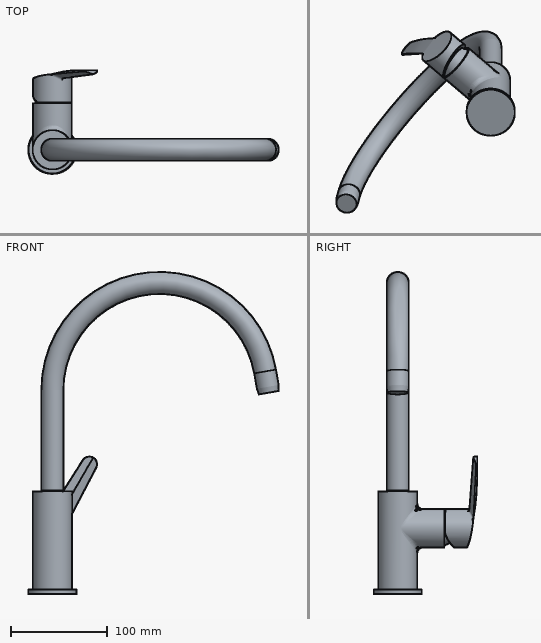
import cadquery as cq
import math

base_dia = 50.0
base_height = 5.0
base_edge_chamfer = 0.6

body_dia = 40.6
body_top = 106.0
arm_dia = 40.0
arm_axis_height = 68.0
arm_end = 48.0
arm_blend_radius = 5.0

pipe_dia = 23.0
seal_dia = 21.0
seal_height = 1.0
overall_height = 332.4
arc_radius = 110.46
arc_sweep = 170.0
aerator_length = 22.3
aerator_taper_length = 6.2
aerator_end_dia = 21.0

cap_base_dia = 36.0
cap_end_dia = 25.0
cap_length = 12.0

hub_dia = 40.0
hub_gap = 1.0
hub_depth = 35.0
undercut_start = 3.0
undercut_rise = 11.5
handle_tilt = 30.0

face_front = 82.19
face_radius = 340.0
face_crest = 70.0
lever_tip_centre = 76.2
lever_tip_radius = 8.0
lever_root_half_width = 11.2
ridge_root_depth = 72.2
ridge_slope = 0.065
gable_slope = 0.43
lever_root_fillet = 2.0

arc_centre_height = overall_height - pipe_dia / 2 - arc_radius
riser_bottom = body_top + seal_height


def disc(diameter, bottom, height):
    """Upright cylinder on the body axis."""
    return cq.Workplane("XY").workplane(offset=bottom).circle(diameter / 2).extrude(height)


def along_y(start):
    """Workplane facing +Y at the given distance; its local y is -Z."""
    return cq.Workplane("XZ", origin=(0, start, 0)).transformed(rotate=(180, 0, 0))


def make_base():
    """Foot ring with a chamfered upper edge."""
    return disc(base_dia, 0, base_height).faces(">Z").edges().chamfer(base_edge_chamfer)


def make_body():
    """Column with the side arm blended into it."""
    column = disc(body_dia, base_height, body_top - base_height)
    arm = along_y(0).circle(arm_dia / 2).extrude(arm_end).translate((0, 0, arm_axis_height))
    junction = column.union(arm).edges("%BSPLINE")
    return junction.fillet(arm_blend_radius)


def arc_point(swept):
    """X and Z on the spout centreline after turning through the given degrees."""
    angle = math.radians(180 - swept)
    return arc_radius * (1 + math.cos(angle)), arc_centre_height + arc_radius * math.sin(angle)


def make_spout():
    """Round pipe swept up the riser and over the arc."""
    path = (
        cq.Workplane("XZ")
        .moveTo(0, riser_bottom)
        .lineTo(0, arc_centre_height)
        .threePointArc(arc_point(arc_sweep / 2), arc_point(arc_sweep))
    )
    return cq.Workplane("XY").workplane(offset=riser_bottom).circle(pipe_dia / 2).sweep(path)


def make_aerator():
    """Sleeve with a tapered end, continuing straight on from the end of the arc."""
    end = math.radians(180 - arc_sweep)
    outlet_x, outlet_z = arc_point(arc_sweep)
    outlet = cq.Plane(
        origin=(outlet_x, 0, outlet_z),
        xDir=(0, 1, 0),
        normal=(math.sin(end), 0, -math.cos(end)),
    )
    sleeve_length = aerator_length - aerator_taper_length
    profile = [
        (0, 0),
        (pipe_dia / 2, 0),
        (pipe_dia / 2, sleeve_length),
        (aerator_end_dia / 2, aerator_length),
        (0, aerator_length),
    ]
    upright = cq.Workplane("XZ").polyline(profile).close().revolve(360, (0, 0), (0, 1))
    return upright.newObject([upright.val().moved(cq.Location(outlet))])


def make_cap():
    """Cone standing on the end face of the arm."""
    profile = [
        (0, arm_end),
        (cap_base_dia / 2, arm_end),
        (cap_end_dia / 2, arm_end + cap_length),
        (0, arm_end + cap_length),
    ]
    cap = cq.Workplane("XY").polyline(profile).close().revolve(360, (0, 0), (0, 1))
    return cap.translate((0, 0, arm_axis_height))


def make_lever():
    """Tapered blade with a rounded tip and a ridge down the inner face."""
    root = lever_root_half_width
    tip = lever_tip_radius
    outline = (
        cq.Workplane("XZ")
        .moveTo(-root, 0)
        .lineTo(-tip, lever_tip_centre)
        .threePointArc((0, lever_tip_centre + tip), (tip, lever_tip_centre))
        .lineTo(root, 0)
        .close()
        .extrude(-face_front)
    )
    reach = lever_tip_centre + 2 * tip
    side = 2 * root
    section = [
        (0, ridge_root_depth),
        (side, ridge_root_depth + gable_slope * side),
        (side, 2 * face_front),
        (-side, 2 * face_front),
        (-side, ridge_root_depth + gable_slope * side),
    ]
    upper = [(x, y + ridge_slope * reach) for x, y in section]
    gable = (
        cq.Workplane("XY")
        .polyline(section)
        .close()
        .workplane(offset=reach)
        .polyline(upper)
        .close()
        .loft(ruled=True)
    )
    return outline.intersect(gable)


def make_handle(cap):
    """Hub and lever with a crowned front, an undercut below and a recess for the cap."""
    hub_start = arm_end + hub_gap
    hub = along_y(hub_start).circle(hub_dia / 2).extrude(hub_depth)
    handle = hub.union(make_lever())

    crowned_front = (
        cq.Workplane("YZ", origin=(-hub_dia, 0, 0))
        .center(face_front - face_radius, face_crest)
        .circle(face_radius)
        .extrude(2 * hub_dia)
    )
    handle = handle.intersect(crowned_front)

    hub_radius = hub_dia / 2
    root = lever_root_half_width
    root_zone = cq.selectors.BoxSelector(
        (-root, hub_start + hub_depth / 2, hub_radius / 2),
        (root, face_front, hub_radius + lever_root_fillet),
    )
    handle = handle.edges(root_zone).fillet(lever_root_fillet)

    hub_underside = -hub_radius
    undercut = (
        cq.Workplane("YZ", origin=(-hub_dia, 0, 0))
        .moveTo(hub_start, undercut_start)
        .lineTo(hub_start + undercut_rise, hub_underside)
        .lineTo(hub_start, hub_underside)
        .close()
        .extrude(2 * hub_dia)
    )
    handle = handle.cut(undercut)
    handle = handle.rotate((0, 0, 0), (0, 1, 0), handle_tilt).translate((0, 0, arm_axis_height))
    return handle.cut(cap)


base = make_base()
body = make_body()
seal = disc(seal_dia, body_top, seal_height)
spout = make_spout()
aerator = make_aerator()
cap = make_cap()
handle = make_handle(cap)

bodies = (base, body, seal, spout, aerator, cap, handle)
result = cq.Compound.makeCompound([item.solids().val() for item in bodies])